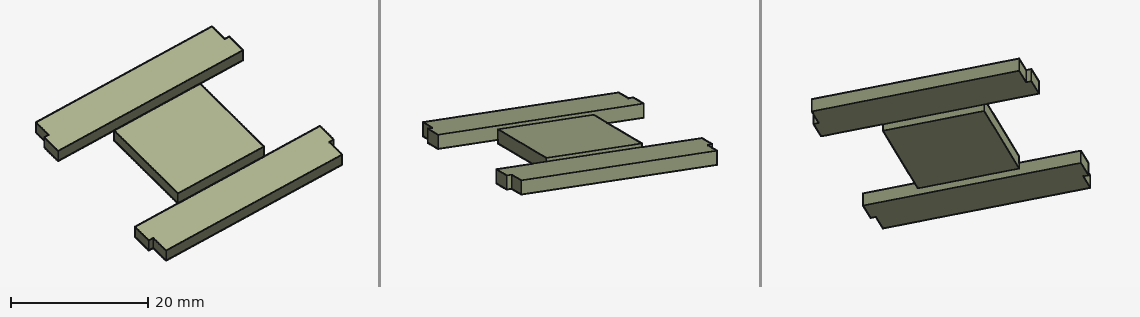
import cadquery as cq

total_width = 31.8
bar_length = 33.6
thickness = 2.2

bar_width = 6.52
notch_width = 3.12
notch_depth = 0.8

plate_side = 15.62


def make_plate():
    """Square plate centred on the origin, resting on Z = 0."""
    return cq.Workplane("XY").box(plate_side, plate_side, thickness, centered=(True, True, False))


def make_bar(side):
    """Bar on the -X side (side = -1) or the +X side (side = 1)."""
    outer_x = side * total_width / 2
    tab_x = outer_x - side * notch_width
    inner_x = outer_x - side * bar_width
    end_y = bar_length / 2
    shoulder_y = end_y - notch_depth
    outline = [
        (inner_x, -end_y),
        (tab_x, -end_y),
        (tab_x, -shoulder_y),
        (outer_x, -shoulder_y),
        (outer_x, shoulder_y),
        (tab_x, shoulder_y),
        (tab_x, end_y),
        (inner_x, end_y),
    ]
    return cq.Workplane("XY").polyline(outline).close().extrude(thickness)


plate = make_plate()
bars = [make_bar(side) for side in (-1, 1)]

result = cq.Compound.makeCompound([plate.val(), *[bar.val() for bar in bars]])